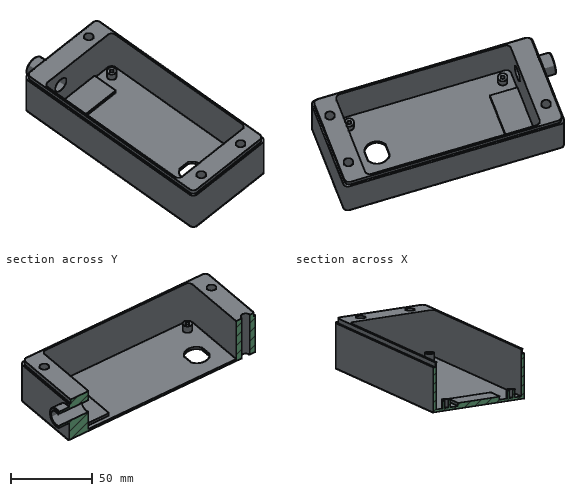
import cadquery as cq

body_length = 144.0
body_width = 65.0
total_height = 32.0
lip_height = 3.0
corner_radius = 3.0

side_wall = 2.5
end_wall = 15.0
floor_thickness = 2.0
lip_inset = side_wall / 2
cavity_length = body_length - 2 * end_wall
cavity_width = body_width - 2 * side_wall

spout_length = 8.0
spout_diameter = 14.0
spout_bore = 10.0
spout_chamfer = 0.5
spout_y = -15.4
spout_z = 20.0

post_diameter = 6.0
post_hole = 2.5
post_height = 5.0
post_spacing_x = 100.0
post_spacing_y = 46.0

mount_hole = 6.0
mount_x = (body_length - end_wall) / 2
mount_y = 17.6

opening_diameter = 16.0
opening_flats = 14.0
opening_x = 39.8

pad_length = 18.0
pad_width = 30.0
pad_height = 2.0


def rounded_block(length, width, height, base_z):
    block = cq.Workplane("XY").box(length, width, height, centered=(True, True, False))
    return block.edges("|Z").fillet(corner_radius).translate((0, 0, base_z))


def make_shell():
    shoulder = rounded_block(body_length, body_width, total_height - lip_height, 0)
    lip = rounded_block(body_length - 2 * lip_inset, body_width - 2 * lip_inset, total_height, 0)
    cavity = rounded_block(cavity_length, cavity_width, total_height, floor_thickness)
    return shoulder.union(lip).cut(cavity)


def make_posts():
    return (
        cq.Workplane("XY", origin=(0, 0, floor_thickness))
        .rarray(post_spacing_x, post_spacing_y, 2, 2)
        .circle(post_diameter / 2)
        .circle(post_hole / 2)
        .extrude(post_height)
    )


def make_pad():
    pad = cq.Workplane("XY").box(
        pad_length, pad_width, floor_thickness + pad_height, centered=(False, True, False)
    )
    return pad.translate((-cavity_length / 2, 0, 0))


def make_spout():
    spout = cq.Workplane("YZ", origin=(-body_length / 2, spout_y, spout_z))
    return spout.circle(spout_diameter / 2).extrude(-spout_length).faces("<X").chamfer(spout_chamfer)


def make_spout_bore():
    """Bore running from the spout tip through the end block into the cavity."""
    bore = cq.Workplane("YZ", origin=(-body_length / 2 - spout_length, spout_y, spout_z))
    return bore.circle(spout_bore / 2).extrude(spout_length + end_wall)


def make_mount_holes():
    """Three holes; the fourth corner is taken by the spout bore."""
    places = [(-mount_x, mount_y), (mount_x, mount_y), (mount_x, -mount_y)]
    return cq.Workplane("XY").pushPoints(places).circle(mount_hole / 2).extrude(total_height)


def make_opening():
    round_part = cq.Workplane("XY").circle(opening_diameter / 2).extrude(floor_thickness)
    flats = cq.Workplane("XY").rect(opening_flats, opening_diameter).extrude(floor_thickness)
    return round_part.intersect(flats).translate((opening_x, 0, 0))


result = make_shell().union(make_posts()).union(make_pad()).union(make_spout())
result = result.cut(make_spout_bore()).cut(make_mount_holes()).cut(make_opening())